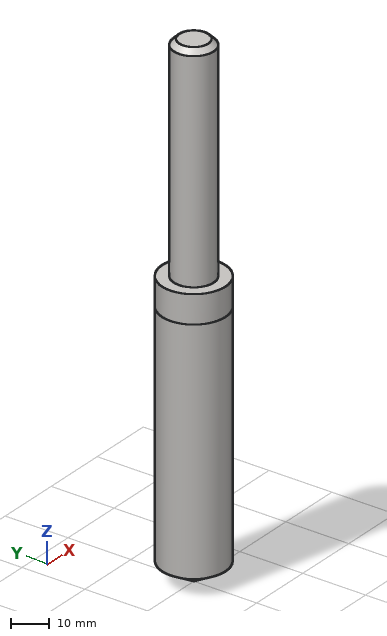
import cadquery as cq

total_length = 158.0
body_diameter = 20.0
shank_diameter = 12.6

point_height = 6.0
seam_height = 80.1
shoulder_height = 89.0

shank_chamfer = 1.7


def make_lower_body():
    """Cylinder ending in a conical point at the bottom."""
    radius = body_diameter / 2
    return (
        cq.Workplane("XZ")
        .polyline([(0, 0), (radius, point_height), (radius, seam_height), (0, seam_height)])
        .close()
        .revolve(360, (0, 0), (0, 1))
    )


def make_shank():
    """Collar sitting on the lower body, with a chamfered shank above it."""
    collar = (
        cq.Workplane("XY", origin=(0, 0, seam_height))
        .circle(body_diameter / 2)
        .extrude(shoulder_height - seam_height)
    )
    shank = (
        cq.Workplane("XY", origin=(0, 0, shoulder_height))
        .circle(shank_diameter / 2)
        .extrude(total_length - shoulder_height)
        .faces(">Z")
        .chamfer(shank_chamfer)
    )
    return collar.union(shank)


lower_body = make_lower_body()
collared_shank = make_shank()

result = cq.Compound.makeCompound([lower_body.val(), collared_shank.val()])